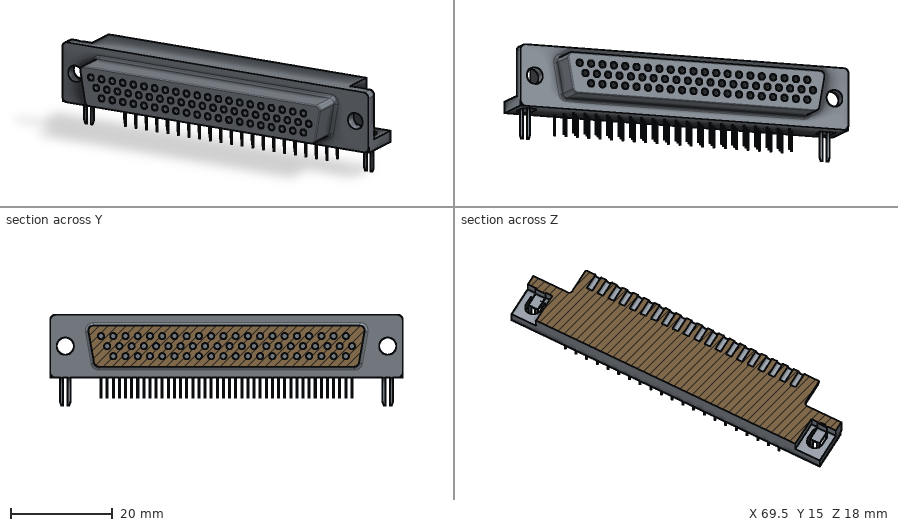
import cadquery as cq
import math

OVERLAP = 0.35
TOLERANCE = 0.01

LENGTH = 69.5
HEIGHT = 12.4
HOUSING_DEPTH = 8.8
FLANGE_THICKNESS = 2.3
PLATE_THICKNESS = 0.3
CORNER_RADIUS = 1.05
TOP = HEIGHT / 2
BOTTOM = -TOP

LEDGE_WIDTH = 5.5
LEDGE_THICKNESS = 2.3
LEDGE_TOP = BOTTOM + LEDGE_THICKNESS
BODY_LENGTH = LENGTH - 2 * LEDGE_WIDTH

MOUNT_SPACING = 63.5
MOUNT_X = MOUNT_SPACING / 2
MOUNT_DIAMETER = 3.35
SLOT_WIDTH = 3.2
SLOT_REAR_MARGIN = 1.9
SLOT_REAR = HOUSING_DEPTH - SLOT_REAR_MARGIN
ROUND_SLOT_LENGTH = 4.85
SQUARE_SLOT_LENGTH = 3.5

SHELL_LENGTH = 6.2
SHELL_HEIGHT = 8.1
SHELL_TOP_WIDTH = 54.85
SHELL_SLOPE = math.radians(10)
SHELL_CORNER = 1.0
SHELL_EDGE = 0.2
ROOT_FILLET = 0.6

CONTACT_DIAMETER = 1.2
CONTACT_DEPTH = 3.5
CONTACT_CHAMFER = 0.105
ROW_SIZES = (21, 21, 20)
MIDDLE_ROW = 1
TOP_ROW_SPAN = 48.2
CONTACT_PITCH = TOP_ROW_SPAN / (ROW_SIZES[0] - 1)
OUTER_ROW_DISTANCE = 3.95
ROW_SPACING = OUTER_ROW_DISTANCE / (len(ROW_SIZES) - 1)
STAGGER = CONTACT_PITCH / 2

PIN_DIAMETER = 0.3
PIN_TIP_CHAMFER = 0.1
PIN_LENGTH = 4.0
PIN_REAR_MARGIN = 1.6
REAR_PIN_Y = HOUSING_DEPTH - PIN_REAR_MARGIN

LOCK_WIDTH = 2.15
LOCK_SHEET = 0.24
LOCK_REAR_MARGIN = 3.35
LOCK_REAR = HOUSING_DEPTH - LOCK_REAR_MARGIN
LOCK_RISE = 0.2
LOCK_TOP = LEDGE_TOP + LOCK_RISE
LOCK_LEG_HEIGHT = 2.4
PRONG_GAP = 0.8
PRONG_LENGTH = 5.55
PRONG_TIP = 0.8
PRONG_TAPER = 0.3


def block(x, y_range, z_range, width):
    """Box centred on x between the given Y and Z limits."""
    (y_low, y_high), (z_low, z_high) = y_range, z_range
    corner = (x - width / 2, y_low, z_low)
    return cq.Workplane("XY").box(width, y_high - y_low, z_high - z_low, centered=False).translate(corner)


def housing():
    """Plate, flange, full-height body and the two open ledges."""
    plate = block(0, (0, PLATE_THICKNESS), (BOTTOM, TOP), LENGTH).edges("|Y").fillet(CORNER_RADIUS)
    flange = block(0, (PLATE_THICKNESS, FLANGE_THICKNESS), (BOTTOM, TOP), LENGTH)
    flange = flange.edges("|Y and >Z").fillet(CORNER_RADIUS)
    body = block(0, (FLANGE_THICKNESS, HOUSING_DEPTH), (BOTTOM, TOP), BODY_LENGTH)
    ledges = block(0, (FLANGE_THICKNESS, HOUSING_DEPTH), (BOTTOM, LEDGE_TOP), LENGTH)
    return plate.union(flange).union(body).union(ledges)


def shell_prism():
    """D-shaped shell with rounded corners and front rim, started inside the flange."""
    half_height = SHELL_HEIGHT / 2
    half_top = SHELL_TOP_WIDTH / 2
    half_bottom = half_top - SHELL_HEIGHT * math.tan(SHELL_SLOPE)
    corners = [
        (-half_top, half_height),
        (half_top, half_height),
        (half_bottom, -half_height),
        (-half_bottom, -half_height),
    ]
    base = cq.Workplane("XZ", origin=(0, OVERLAP, 0)).polyline(corners).close()
    prism = base.extrude(SHELL_LENGTH + OVERLAP).edges("|Y").fillet(SHELL_CORNER)
    return prism.faces("<Y").edges().fillet(SHELL_EDGE)


def add_shell(part):
    """Join the shell to the flange with a concave fillet around its root."""
    reach_x = SHELL_TOP_WIDTH / 2 + OVERLAP
    reach_z = SHELL_HEIGHT / 2 + OVERLAP
    root = cq.selectors.BoxSelector((-reach_x, -TOLERANCE, -reach_z), (reach_x, TOLERANCE, reach_z))
    return part.union(shell_prism()).edges(root).fillet(ROOT_FILLET)


def contact_x(row):
    """X positions of one contact row; the rows are staggered by half a pitch."""
    first = -TOP_ROW_SPAN / 2 - STAGGER / 2 + row * STAGGER
    return [first + i * CONTACT_PITCH for i in range(ROW_SIZES[row])]


def cut_contacts(part):
    """Blind contact sockets with a chamfered mouth in the front of the shell."""
    radius = CONTACT_DIAMETER / 2
    mouth_radius = radius + CONTACT_CHAMFER
    for row in range(len(ROW_SIZES)):
        z = (MIDDLE_ROW - row) * ROW_SPACING
        front = cq.Workplane("XZ", origin=(0, -SHELL_LENGTH, 0)).pushPoints([(x, z) for x in contact_x(row)])
        sockets = front.circle(radius).extrude(-CONTACT_DEPTH)
        mouths = front.circle(mouth_radius).extrude(-CONTACT_CHAMFER, taper=45)
        part = part.cut(sockets).cut(mouths)
    return part


def add_pins(part):
    """One straight solder pin below each contact, the top row at the rear."""
    for row in range(len(ROW_SIZES)):
        y = REAR_PIN_Y - row * ROW_SPACING
        pins = (
            cq.Workplane("XY", origin=(0, 0, BOTTOM - PIN_LENGTH))
            .pushPoints([(x, y) for x in contact_x(row)])
            .circle(PIN_DIAMETER / 2)
            .extrude(PIN_LENGTH + OVERLAP)
            .faces("<Z")
            .edges()
            .chamfer(PIN_TIP_CHAMFER)
        )
        part = part.union(pins)
    return part


def cut_ledge_slots(part):
    """Left slot has two round ends and notches the flange; the right one is square in front."""
    radius = SLOT_WIDTH / 2
    base = cq.Workplane("XY", origin=(0, 0, BOTTOM))
    round_slot = (
        base.center(-MOUNT_X, SLOT_REAR - ROUND_SLOT_LENGTH / 2)
        .slot2D(ROUND_SLOT_LENGTH, SLOT_WIDTH, 90)
        .extrude(HEIGHT)
    )
    square_slot = (
        base.moveTo(MOUNT_X - radius, SLOT_REAR - SQUARE_SLOT_LENGTH)
        .lineTo(MOUNT_X - radius, SLOT_REAR - radius)
        .threePointArc((MOUNT_X, SLOT_REAR), (MOUNT_X + radius, SLOT_REAR - radius))
        .lineTo(MOUNT_X + radius, SLOT_REAR - SQUARE_SLOT_LENGTH)
        .close()
        .extrude(LEDGE_THICKNESS)
    )
    return part.cut(round_slot).cut(square_slot)


def board_lock(x):
    """Bent sheet bracket: leg on the flange, flat across the slot, two tapered prongs down."""
    sheet_bottom = LOCK_TOP - LOCK_SHEET
    prong_bottom = BOTTOM - PRONG_LENGTH
    leg_range = (FLANGE_THICKNESS, FLANGE_THICKNESS + LOCK_SHEET)
    leg = block(x, leg_range, (sheet_bottom, sheet_bottom + LOCK_LEG_HEIGHT), LOCK_WIDTH)
    flat = block(x, (FLANGE_THICKNESS, LOCK_REAR), (sheet_bottom, LOCK_TOP), LOCK_WIDTH)
    bracket = leg.union(flat)
    for side in (-1, 1):
        inner = x + side * PRONG_GAP / 2
        outer = x + side * LOCK_WIDTH / 2
        outline = [
            (inner, LOCK_TOP),
            (outer, LOCK_TOP),
            (outer, prong_bottom + PRONG_TIP),
            (outer - side * PRONG_TAPER, prong_bottom),
            (inner, prong_bottom),
        ]
        prong = cq.Workplane("XZ", origin=(0, LOCK_REAR, 0)).polyline(outline).close().extrude(LOCK_SHEET)
        bracket = bracket.union(prong)
    return bracket


def cut_mounting_holes(part):
    """Screw holes through the flange and the bracket legs."""
    holes = (
        cq.Workplane("XZ")
        .pushPoints([(-MOUNT_X, 0), (MOUNT_X, 0)])
        .circle(MOUNT_DIAMETER / 2)
        .extrude(-HOUSING_DEPTH)
    )
    return part.cut(holes)


result = add_shell(housing())
result = cut_contacts(result)
result = add_pins(result)
result = cut_ledge_slots(result)
for lock_x in (-MOUNT_X, MOUNT_X):
    result = result.union(board_lock(lock_x))
result = cut_mounting_holes(result)